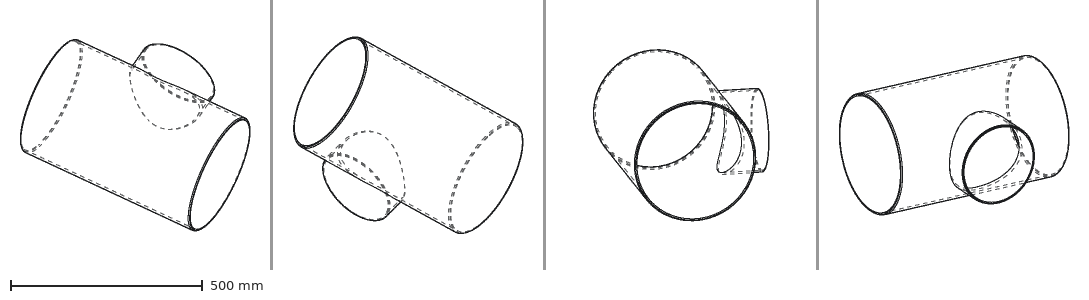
import cadquery as cq

run_length = 508.0
run_diameter = 324.0
run_wall = 6.0

branch_diameter = 219.0
branch_wall = 5.0
branch_reach = 228.5

run_bevel_depth = 2.5
run_bevel_length = 3.0
branch_bevel_depth = 2.0
branch_bevel_length = 1.5


def beveled_rod(profile_points, axis_end):
    """Solid of revolution from an outline with one side on the axis."""
    return cq.Workplane("XY").polyline(profile_points).close().revolve(360, (0, 0), axis_end)


run_radius = run_diameter / 2
half_length = run_length / 2
run_rim_radius = run_radius - run_bevel_depth
run_shoulder = half_length - run_bevel_length
run_outer = beveled_rod(
    [
        (-half_length, 0),
        (-half_length, run_rim_radius),
        (-run_shoulder, run_radius),
        (run_shoulder, run_radius),
        (half_length, run_rim_radius),
        (half_length, 0),
    ],
    (1, 0),
)

branch_radius = branch_diameter / 2
branch_outer = beveled_rod(
    [
        (0, 0),
        (branch_radius, 0),
        (branch_radius, branch_reach - branch_bevel_length),
        (branch_radius - branch_bevel_depth, branch_reach),
        (0, branch_reach),
    ],
    (0, 1),
)

run_bore = cq.Workplane("YZ").circle(run_radius - run_wall).extrude(half_length, both=True)
branch_bore = cq.Workplane("XZ").circle(branch_radius - branch_wall).extrude(-branch_reach)

result = run_outer.union(branch_outer).cut(run_bore).cut(branch_bore)